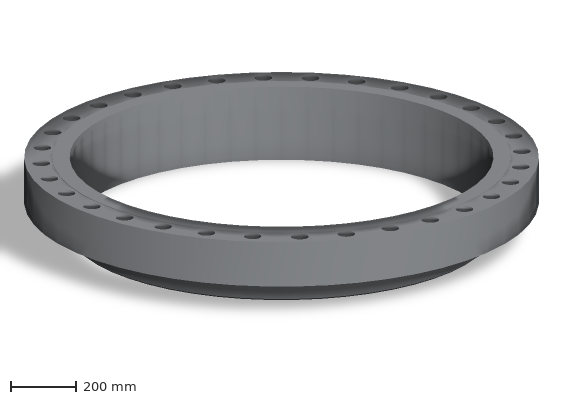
import cadquery as cq
import math

outer_diameter = 1581.15
total_height = 238.125
flange_thickness = 146.05

raised_face_diameter = 1409.7
raised_face_height = 1.6

weld_end_diameter = 1320.8
wall_thickness = 9.525
hub_base_diameter = 1358.0
hub_fillet_radius = 14.3

root_face_width = 1.6
bevel_angle = 37.5

bolt_circle_diameter = 1479.55
bolt_hole_diameter = 53.975
bolt_hole_count = 32

outer_radius = outer_diameter / 2
raised_face_radius = raised_face_diameter / 2
weld_end_radius = weld_end_diameter / 2
hub_base_radius = hub_base_diameter / 2
bore_radius = weld_end_radius - wall_thickness
root_radius = bore_radius + root_face_width
bevel_height = (weld_end_radius - root_radius) * math.tan(math.radians(bevel_angle))
flange_bottom = total_height - flange_thickness
flange_rim_top = total_height - raised_face_height


def make_body():
    """Revolve the half section, taken on the -X side, about the Z axis."""
    profile = [
        (bore_radius, 0),
        (root_radius, 0),
        (weld_end_radius, bevel_height),
        (hub_base_radius, flange_bottom),
        (outer_radius, flange_bottom),
        (outer_radius, flange_rim_top),
        (raised_face_radius, flange_rim_top),
        (raised_face_radius, total_height),
        (bore_radius, total_height),
    ]
    section = cq.Workplane("XZ").polyline([(-radius, level) for radius, level in profile]).close()
    return section.revolve(360, (0, 0, 0), (0, 1, 0))


def fillet_hub(body):
    """Round the inside corner where the hub meets the underside of the flange."""
    clearance = 1.0
    reach = hub_base_radius + clearance
    corner_edge = cq.selectors.BoxSelector(
        (-reach, -reach, flange_bottom - clearance),
        (reach, reach, flange_bottom + clearance),
        boundingbox=True,
    )
    return body.edges(corner_edge).fillet(hub_fillet_radius)


def make_bolt_holes():
    """Cylinders through the whole flange, evenly spaced with one on the X axis."""
    return (
        cq.Workplane("XY")
        .workplane(offset=flange_bottom)
        .polarArray(bolt_circle_diameter / 2, 0, 360, bolt_hole_count)
        .circle(bolt_hole_diameter / 2)
        .extrude(flange_thickness)
    )


result = fillet_hub(make_body()).cut(make_bolt_holes())